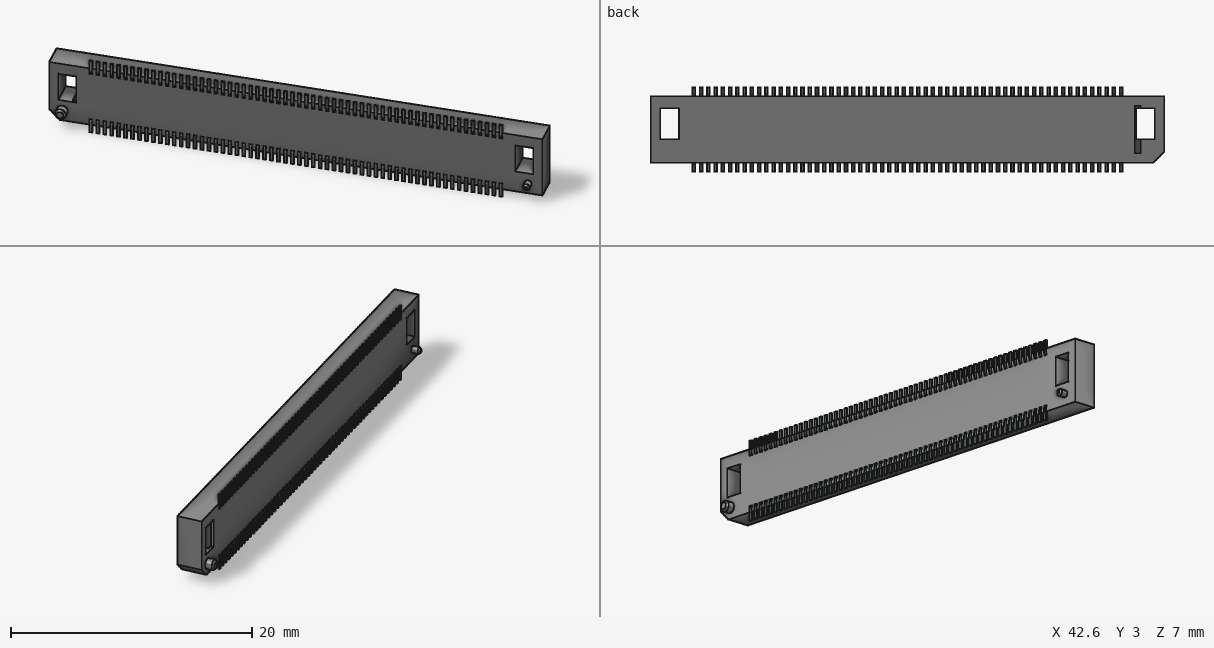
import cadquery as cq

body_length = 42.6
body_depth = 2.2
body_height = 5.55
corner_chamfer = 0.95

lead_count = 60
lead_row_span = 35.4
lead_pitch = lead_row_span / (lead_count - 1)
lead_width = 0.25
lead_thickness = 0.13
lead_front_y = -0.02
lead_bend_radius = 0.3
lead_span = 7.0
lead_overlap = 0.55
lead_inner_z = body_height / 2 - lead_overlap

window_width = 1.55
window_height = 2.55
window_end_gap = 0.8
window_top_gap = 1.02

slot_width = 0.5
slot_height = 3.9
slot_skin = 0.25
slot_overlap = 0.4

overall_depth = 3.0
peg_length = overall_depth - body_depth
peg_z = -1.8
peg_tip_chamfer = 0.15
large_peg_diameter = 0.95
large_peg_end_distance = 1.15
large_peg_x = -body_length / 2 + large_peg_end_distance
small_peg_diameter = 0.6
small_peg_end_distance = 1.25
small_peg_x = body_length / 2 - small_peg_end_distance


def make_body():
    """Bar with one lower corner cut off along its whole depth."""
    bar = cq.Workplane("XY").box(body_length, body_depth, body_height, centered=(True, False, True))
    return bar.edges("|Y and <X and <Z").chamfer(corner_chamfer)


def make_windows():
    """Two blocks that cut the end windows."""
    centre_x = body_length / 2 - window_end_gap - window_width / 2
    centre_z = body_height / 2 - window_top_gap - window_height / 2
    return (
        cq.Workplane("XZ", origin=(0, 0, centre_z))
        .pushPoints([(-centre_x, 0), (centre_x, 0)])
        .rect(window_width, window_height)
        .extrude(-body_depth)
    )


def make_back_slot():
    """Block that cuts the slot beside the -X window, open to the back."""
    window_inner_x = -body_length / 2 + window_end_gap + window_width
    return cq.Workplane("XY", origin=(window_inner_x - slot_overlap, slot_skin, 0)).box(
        slot_width, body_depth - slot_skin, slot_height, centered=(False, False, True)
    )


def make_peg(x, diameter):
    """Round peg pointing to -Y with a chamfered tip."""
    return (
        cq.Workplane("XZ", origin=(x, 0, peg_z))
        .circle(diameter / 2)
        .extrude(peg_length)
        .faces("<Y")
        .chamfer(peg_tip_chamfer)
    )


def make_row(profile):
    """Copies of a lead-wide solid, one at each lead position along X."""
    block = profile.extrude(lead_width).val()
    first_x = -lead_row_span / 2
    return [block.translate(cq.Vector(first_x + i * lead_pitch, 0, 0)) for i in range(lead_count)]


def lead_plane():
    """YZ plane through the -X face of a lead centred on X = 0."""
    return cq.Workplane("YZ", origin=(-lead_width / 2, 0, 0))


def make_leads(side):
    """Flat leads overhanging the upper (side = 1) or lower (side = -1) edge of the housing."""
    tip_z = side * lead_span / 2
    inner_z = side * lead_inner_z
    back_y = lead_front_y + lead_thickness
    profile = (
        lead_plane()
        .moveTo(lead_front_y, tip_z)
        .lineTo(lead_front_y, inner_z)
        .lineTo(back_y, inner_z)
        .lineTo(back_y, tip_z)
        .close()
    )
    return make_row(profile)


def make_bend_gaps(side):
    """Corner gaps that round each lead's inner end as it bends back into the housing."""
    inner_z = side * lead_inner_z
    profile = (
        lead_plane()
        .moveTo(lead_front_y, inner_z)
        .lineTo(lead_front_y, inner_z + side * lead_bend_radius)
        .radiusArc((lead_front_y + lead_bend_radius, inner_z), -side * lead_bend_radius)
        .close()
    )
    return make_row(profile)


housing = make_body().cut(make_windows()).cut(make_back_slot())
housing = housing.union(make_peg(large_peg_x, large_peg_diameter))
housing = housing.union(make_peg(small_peg_x, small_peg_diameter))
leads = make_leads(1) + make_leads(-1)
bend_gaps = make_bend_gaps(1) + make_bend_gaps(-1)

result = cq.Workplane(housing.val().fuse(*leads).cut(*bend_gaps))